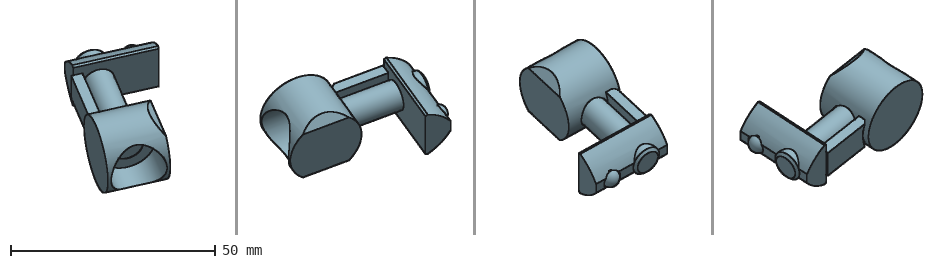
import cadquery as cq
import math


drum_diameter = 19.7
drum_radius = drum_diameter / 2
drum_length = 16.0
drum_end_bevel = 2.3
bore_diameter = 14.35
bore_floor_x = 0.0

overall_length = 41.9
ball_tip_x = drum_radius - overall_length

bolt_diameter = 8.0
bolt_tip_diameter = 6.65
bolt_tip_chamfer_length = 0.85
bolt_tip_x = ball_tip_x + 0.9
drum_bolt_hole_diameter = 8.2

nut_front_x = ball_tip_x + 1.5
nut_back_x = ball_tip_x + 8.55
nut_length = 22.0
nut_far_y = 15.5
nut_nose_half_height = 1.55
nut_half_height = 6.9
nut_crest_setback = 0.65
nut_edge_chamfer = 0.3
flank_bulge = 0.63

ball_diameter = 5.0
ball_x = ball_tip_x + ball_diameter / 2
ball_y = 10.5

tongue_height = bolt_diameter
tongue_inner_y = -drum_bolt_hole_diameter / 2
tongue_outer_y = -7.0
tongue_relief = 0.92


def cylinder_x(diameter, start_x, end_x):
    """Cylinder on the bolt axis between two X positions."""
    return cq.Workplane("YZ", origin=(start_x, 0, 0)).circle(diameter / 2).extrude(end_x - start_x)


def cylinder_y(radius, start_y, end_y):
    """Cylinder on the drum axis between two Y positions."""
    return cq.Workplane("XZ", origin=(0, start_y, 0)).circle(radius).extrude(start_y - end_y)


def make_tongue():
    """Flat bar from the nut to the drum, its outer corner relieved by a cone around the drum axis."""
    bar = cq.Workplane("XY").box(
        -nut_back_x, tongue_inner_y - tongue_outer_y, tongue_height, centered=(False, False, True)
    ).translate((nut_back_x, tongue_outer_y, 0))
    relief = (
        cq.Workplane("XY")
        .moveTo(0, tongue_outer_y)
        .lineTo(drum_radius + tongue_relief, tongue_outer_y)
        .lineTo(drum_radius, tongue_outer_y + tongue_relief)
        .lineTo(0, tongue_outer_y + tongue_relief)
        .close()
        .revolve(360, (0, 0, 0), (0, 1, 0))
    )
    return bar.cut(relief)


def make_drum():
    """Round drum with two flat end bevels, a bolt head bore, a bolt hole and the tongue."""
    half_length = drum_length / 2
    drum = cylinder_y(drum_radius, half_length, -half_length)
    for side in (1, -1):
        bevel = (
            cq.Workplane("YZ")
            .moveTo(half_length, side * drum_radius)
            .lineTo(half_length - drum_end_bevel, side * drum_radius)
            .lineTo(half_length, side * (drum_radius - drum_end_bevel))
            .close()
            .extrude(drum_radius, both=True)
        )
        drum = drum.cut(bevel)
    drum = drum.union(make_tongue())
    drum = drum.cut(cylinder_x(bore_diameter, bore_floor_x, drum_radius))
    return drum.cut(cylinder_x(drum_bolt_hole_diameter, nut_back_x, bore_floor_x))


def make_bolt():
    """Plain bolt with a chamfered tip, ending at the floor of the drum bore."""
    bolt = cylinder_x(bolt_diameter, bolt_tip_x, bore_floor_x)
    chamfer_depth = (bolt_diameter - bolt_tip_diameter) / 2
    return bolt.faces("<X").chamfer(chamfer_depth, bolt_tip_chamfer_length)


def make_nut():
    """Wedge-shaped slot nut with curved flanks, a bolt hole and a locating ball."""
    crest_x = nut_back_x - nut_crest_setback
    run = crest_x - nut_front_x
    rise = nut_half_height - nut_nose_half_height
    chord = math.hypot(run, rise)
    flank_x = (nut_front_x + crest_x) / 2 - flank_bulge * rise / chord
    flank_z = (nut_nose_half_height + nut_half_height) / 2 + flank_bulge * run / chord
    nut = (
        cq.Workplane("XZ", origin=(0, nut_far_y, 0))
        .moveTo(nut_front_x, -nut_nose_half_height)
        .lineTo(nut_front_x, nut_nose_half_height)
        .threePointArc((flank_x, flank_z), (crest_x, nut_half_height))
        .lineTo(nut_back_x, nut_half_height - nut_edge_chamfer)
        .lineTo(nut_back_x, nut_edge_chamfer - nut_half_height)
        .lineTo(crest_x, -nut_half_height)
        .threePointArc((flank_x, -flank_z), (nut_front_x, -nut_nose_half_height))
        .close()
        .extrude(nut_length)
    )
    nut = nut.cut(cylinder_x(bolt_diameter, nut_front_x, nut_back_x))
    pocket = cylinder_x(ball_diameter, nut_front_x, ball_x).translate((0, ball_y, 0))
    ball = cq.Workplane("XY").sphere(ball_diameter / 2).translate((ball_x, ball_y, 0))
    return nut.cut(pocket).union(ball)


drum = make_drum()
bolt = make_bolt()
nut = make_nut()

result = cq.Compound.makeCompound([drum.val(), bolt.val(), nut.val()])